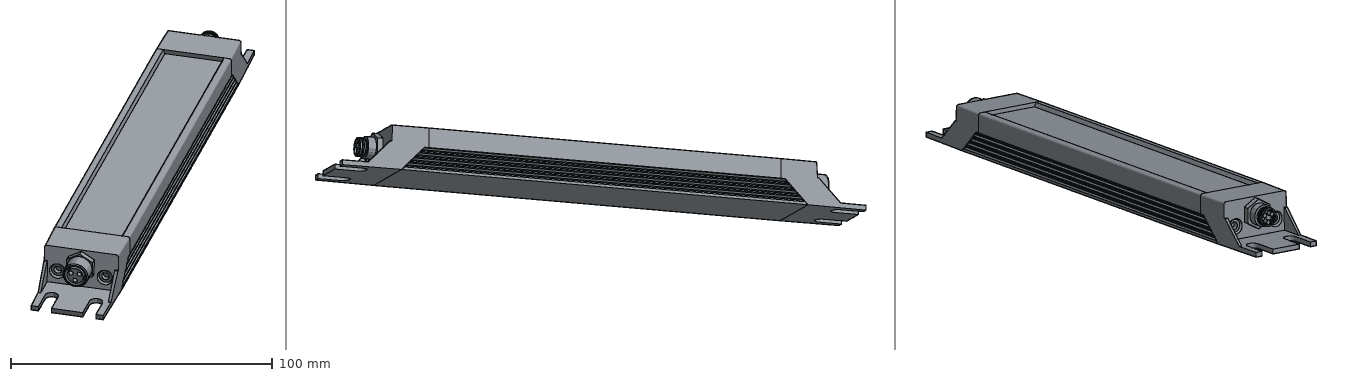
import cadquery as cq
import math

TOTAL_LENGTH = 215.0
WIDTH = 30.0
HEIGHT = 17.5

JOINT_Y = 72.2
JOINT_SHOULDER_Y = 74.0
JOINT_SHOULDER_Z = 9.5
JOINT_TOE_Y = JOINT_SHOULDER_Y + JOINT_SHOULDER_Z

TOP_ROUND = 1.0
FIN_HALF_WIDTH = 14.8
GROOVE_DEPTH = 0.6
GROOVE_BOTTOM_WIDTH = 0.5
GROOVE_PITCH = 2.2
GROOVE_COUNT = 4
FIRST_GROOVE_Z = 2.0
WINDOW_HALF_WIDTH = 12.0
WINDOW_FLOOR_HALF_WIDTH = 11.5
WINDOW_DEPTH = 1.7

CAP_END_Y = 88.0
CAP_END_LEAN = 0.9
CAP_TAPER = 0.022
FLANGE_THICKNESS = 2.0
GUSSET_TOP_Z = 11.0
GUSSET_THICKNESS = 1.3
SLOT_X = 8.8
SLOT_WIDTH = 5.2
SLOT_BOTTOM_Y = 95.5
SCREW_X = 9.5
SCREW_Z = 7.0
SCREW_SEAT_RADIUS = 2.5
SCREW_SEAT_DEPTH = 1.3
SCREW_SEAT_FLARE = 0.6
SCREW_SOCKET_RADIUS = 1.5
SCREW_SOCKET_DEPTH = 2.2

CONNECTOR_Z = 11.0
CONNECTOR_SEAT_Y = 87.5
HEX_SIDES = 6
HEX_ACROSS_FLATS = 10.3
HEX_LENGTH = 2.2
CONTACT_RADIUS = 0.9
CONTACT_CIRCLE_RADIUS = 2.0
CONTACT_COUNT = 3
FIRST_CONTACT_ANGLE = 30
SOCKET_RADIUS = 5.0
SOCKET_LENGTH = 6.5
SOCKET_CHAMFER = 0.5
SOCKET_RING_OUTER_RADIUS = 4.0
SOCKET_RING_INNER_RADIUS = 3.2
SOCKET_RING_DEPTH = 4.3
PLUG_COLLAR_RADIUS = 4.3
PLUG_COLLAR_LENGTH = 3.2
PLUG_NECK_RADIUS = 3.2
PLUG_RING_RADIUS = 3.7
PLUG_RING_LENGTH = 0.9
PLUG_RING_GAP = 0.6
PLUG_RING_COUNT = 2
PLUG_BORE_RADIUS = 3.0
PLUG_BORE_DEPTH = 2.2


def box_between(x0, x1, y0, y1, z0, z1):
    return cq.Workplane("XY").box(x1 - x0, y1 - y0, z1 - z0, centered=False).translate((x0, y0, z0))


def side_prism(points):
    """Prism across the full width from an outline of (y, z) points."""
    return cq.Workplane("YZ").polyline(points).close().extrude(WIDTH / 2, both=True)


def y_cylinder(radius, y0, length, x=0.0, z=CONNECTOR_Z):
    """Round bar along +Y that starts at y0."""
    return cq.Workplane("XZ", origin=(x, y0, z)).circle(radius).extrude(-length)


def profile_envelope():
    """Everything between the two joints."""
    half = [
        (JOINT_TOE_Y, 0),
        (JOINT_SHOULDER_Y, JOINT_SHOULDER_Z),
        (JOINT_Y, JOINT_SHOULDER_Z),
        (JOINT_Y, HEIGHT),
    ]
    mirrored = [(-y, z) for y, z in reversed(half)]
    return side_prism(half + mirrored)


def make_profile():
    """Extruded housing with flared grooves along its lower sides and a sunken window on top."""
    half_bottom = GROOVE_BOTTOM_WIDTH / 2
    half_mouth = half_bottom + GROOVE_DEPTH
    half = [(FIN_HALF_WIDTH, 0)]
    for i in range(GROOVE_COUNT):
        z = FIRST_GROOVE_Z + i * GROOVE_PITCH
        half += [
            (FIN_HALF_WIDTH, z - half_mouth),
            (FIN_HALF_WIDTH - GROOVE_DEPTH, z - half_bottom),
            (FIN_HALF_WIDTH - GROOVE_DEPTH, z + half_bottom),
            (FIN_HALF_WIDTH, z + half_mouth),
        ]
    half += [(FIN_HALF_WIDTH, JOINT_SHOULDER_Z), (WIDTH / 2, JOINT_SHOULDER_Z), (WIDTH / 2, HEIGHT)]
    mirrored = [(-x, z) for x, z in reversed(half)]
    bar = cq.Workplane("XZ").polyline(half + mirrored).close().extrude(JOINT_TOE_Y, both=True)
    bar = bar.faces(">Z").edges("|Y").fillet(TOP_ROUND)
    window_floor_z = HEIGHT - WINDOW_DEPTH
    window = (
        cq.Workplane("XZ")
        .polyline([
            (-WINDOW_FLOOR_HALF_WIDTH, window_floor_z),
            (WINDOW_FLOOR_HALF_WIDTH, window_floor_z),
            (WINDOW_HALF_WIDTH, HEIGHT),
            (-WINDOW_HALF_WIDTH, HEIGHT),
        ])
        .close()
        .extrude(JOINT_TOE_Y, both=True)
    )
    return bar.cut(window).intersect(profile_envelope())


def cap_half_width(y):
    return WIDTH / 2 - CAP_TAPER * (y - JOINT_Y)


def tapered_block(y_end, height):
    """Block from the joint to y_end that narrows toward the end."""
    near = cap_half_width(JOINT_Y)
    far = cap_half_width(y_end)
    outline = [(-near, JOINT_Y), (near, JOINT_Y), (far, y_end), (-far, y_end)]
    return cq.Workplane("XY").polyline(outline).close().extrude(height)


def gussets():
    """Sloping cheeks that brace the flange against the end face."""
    gusset_toe_y = CAP_END_Y + GUSSET_TOP_Z - FLANGE_THICKNESS
    root_y = CAP_END_Y - CAP_END_LEAN
    wedge = side_prism([
        (root_y, 0), (gusset_toe_y, 0), (gusset_toe_y, FLANGE_THICKNESS),
        (CAP_END_Y, GUSSET_TOP_Z), (root_y, GUSSET_TOP_Z),
    ])
    inside = cap_half_width(CAP_END_Y) - GUSSET_THICKNESS
    gap = box_between(-inside, inside, JOINT_Y, TOTAL_LENGTH / 2, 0, HEIGHT)
    return tapered_block(TOTAL_LENGTH / 2, HEIGHT).intersect(wedge).cut(gap)


def flange_slot(x):
    """Open mounting slot with a round bottom."""
    centre_y = SLOT_BOTTOM_Y + SLOT_WIDTH / 2
    round_bottom = cq.Workplane("XY").center(x, centre_y).circle(SLOT_WIDTH / 2).extrude(FLANGE_THICKNESS)
    straight = box_between(
        x - SLOT_WIDTH / 2, x + SLOT_WIDTH / 2, centre_y, TOTAL_LENGTH / 2, 0, FLANGE_THICKNESS
    )
    return round_bottom.union(straight)


def screw_recess(x):
    """Flared round seat in the end face with a smaller hole in its middle."""
    seat_y = CAP_END_Y - SCREW_SEAT_DEPTH
    flare = (
        cq.Workplane("XZ", origin=(x, seat_y, SCREW_Z))
        .circle(SCREW_SEAT_RADIUS)
        .workplane(offset=-SCREW_SEAT_DEPTH)
        .circle(SCREW_SEAT_RADIUS + SCREW_SEAT_FLARE)
        .loft()
    )
    socket_y = seat_y - SCREW_SOCKET_DEPTH
    return flare.union(y_cylinder(SCREW_SOCKET_RADIUS, socket_y, SCREW_SOCKET_DEPTH, x, SCREW_Z))


def make_end_cap():
    """End cap at the +Y end."""
    body = tapered_block(CAP_END_Y, HEIGHT)
    body = body.faces(">Z").edges("<X or >X").fillet(TOP_ROUND)
    body = body.intersect(side_prism([
        (JOINT_Y, 0), (CAP_END_Y, 0), (CAP_END_Y - CAP_END_LEAN, HEIGHT), (JOINT_Y, HEIGHT),
    ]))
    cap = body.union(tapered_block(TOTAL_LENGTH / 2, FLANGE_THICKNESS)).union(gussets())
    cap = cap.cut(profile_envelope())
    for side in (-1, 1):
        cap = cap.cut(flange_slot(side * SLOT_X)).cut(screw_recess(side * SCREW_X))
    return cap


def hex_base():
    """Hexagon with one corner up, its back fitted to the leaning end face at the +Y end."""
    back_y = CAP_END_Y - CAP_END_LEAN
    front_y = CONNECTOR_SEAT_Y + HEX_LENGTH
    hexagon = (
        cq.Workplane("XZ", origin=(0, back_y, CONNECTOR_Z))
        .polygon(HEX_SIDES, HEX_ACROSS_FLATS / math.cos(math.pi / HEX_SIDES))
        .extrude(back_y - front_y)
        .rotate((0, 0, CONNECTOR_Z), (0, 1, CONNECTOR_Z), 180 / HEX_SIDES)
    )
    return hexagon.cut(make_end_cap())


def contacts(y0, length):
    """Ring of round bars on the connector axis."""
    return (
        cq.Workplane("XZ", origin=(0, y0, CONNECTOR_Z))
        .polarArray(CONTACT_CIRCLE_RADIUS, FIRST_CONTACT_ANGLE, 360, CONTACT_COUNT)
        .circle(CONTACT_RADIUS)
        .extrude(-length)
    )


def make_socket():
    """Smooth round connector with a ring groove around its contact holes, at the +Y end."""
    base_y = CONNECTOR_SEAT_Y + HEX_LENGTH
    end_y = base_y + SOCKET_LENGTH
    barrel = y_cylinder(SOCKET_RADIUS, base_y, SOCKET_LENGTH).faces(">Y").edges().chamfer(SOCKET_CHAMFER)
    floor_y = end_y - SOCKET_RING_DEPTH
    ring = y_cylinder(SOCKET_RING_OUTER_RADIUS, floor_y, SOCKET_RING_DEPTH)
    ring = ring.cut(y_cylinder(SOCKET_RING_INNER_RADIUS, floor_y, SOCKET_RING_DEPTH))
    holes = contacts(base_y, SOCKET_LENGTH)
    return hex_base().union(barrel).cut(ring).cut(holes)


def make_plug():
    """Stepped connector with ringed nose and contact pins, at the +Y end."""
    collar_y = CONNECTOR_SEAT_Y + HEX_LENGTH
    nose_y = collar_y + PLUG_COLLAR_LENGTH
    ring_step = PLUG_RING_GAP + PLUG_RING_LENGTH
    nose_length = PLUG_RING_COUNT * ring_step
    floor_y = nose_y + nose_length - PLUG_BORE_DEPTH
    plug = hex_base().union(y_cylinder(PLUG_COLLAR_RADIUS, collar_y, PLUG_COLLAR_LENGTH))
    plug = plug.union(y_cylinder(PLUG_NECK_RADIUS, nose_y, nose_length))
    for i in range(PLUG_RING_COUNT):
        ring_y = nose_y + PLUG_RING_GAP + i * ring_step
        plug = plug.union(y_cylinder(PLUG_RING_RADIUS, ring_y, PLUG_RING_LENGTH))
    plug = plug.cut(y_cylinder(PLUG_BORE_RADIUS, floor_y, PLUG_BORE_DEPTH))
    return plug.union(contacts(floor_y, PLUG_BORE_DEPTH))


def at_opposite_end(body):
    return body.mirror("XZ")


profile = make_profile()
rear_cap = make_end_cap()
front_cap = at_opposite_end(make_end_cap())
plug = make_plug()
socket = at_opposite_end(make_socket())

result = cq.Compound.makeCompound([
    profile.val(), rear_cap.val(), front_cap.val(), plug.val(), socket.val(),
])